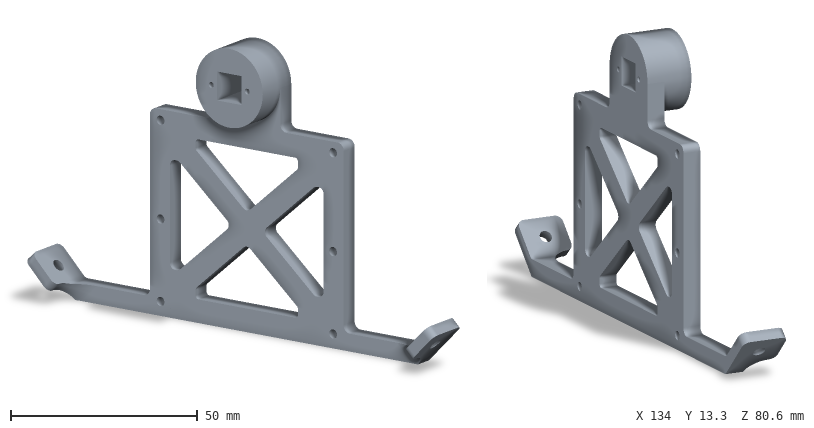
import cadquery as cq
import math


half_span = 67.0
depth = 13.3
plate_thickness = 5.1

frame_half_width = 31.7
frame_height = 57.4
frame_corner_radius = 2.0

boss_radius = 11.0
boss_z = 69.6
square_hole_size = 8.0
pin_hole_diameter = 1.6
pin_hole_x = 5.9

screw_hole_diameter = 2.5
screw_hole_x = 28.2
screw_hole_heights = (4.0, 26.9, 54.4)

window_centre_z = 28.8
opening_half_width = 25.2
opening_half_height = 22.2
brace_width = 6.7
upper_window_half_width = 16.7
side_window_half_height = 15.3
window_corner_radius = 1.7
upper_window_corner_radius = 1.0

arm_height = 5.0
tab_angle = math.radians(46)
tab_length = 15.7
tab_thickness = 3.2
tab_lower_end = 4.8
tab_bend_radius = 2.0
tab_corner_radius = 2.0
tab_blend_radius = 6.0
tab_hole_diameter = 3.5
tab_hole_position = 9.8

tab_cos = math.cos(tab_angle)
tab_sin = math.sin(tab_angle)
bend_x = half_span - tab_length * tab_cos
arm_stub_x = (frame_half_width + bend_x) / 2


def prism(points, thickness):
    """Extrude a closed X-Z outline from the back face toward -Y."""
    return cq.Workplane("XZ").polyline(points).close().extrude(thickness)


def round_corners(body, corners, radius):
    """Fillet the edges along Y that pass through the given (x, z) corners, on both sides of X = 0."""
    edges = []
    for x, z in corners:
        for side in (-1, 1):
            nearest = cq.selectors.NearestToPointSelector((side * x, -plate_thickness / 2, z))
            edges.append(body.edges("|Y").edges(nearest).val())
    return body.newObject(edges).fillet(radius)


def make_frame():
    """Frame plate with the roots of both arms and the neck below the boss."""
    left_outline = [
        (-arm_stub_x, 0),
        (-arm_stub_x, arm_height),
        (-frame_half_width, arm_height),
        (-frame_half_width, frame_height),
        (-boss_radius, frame_height),
        (-boss_radius, boss_z),
    ]
    right_outline = [(-x, z) for x, z in reversed(left_outline)]
    frame = prism(left_outline + right_outline, plate_thickness)
    corners = [
        (frame_half_width, arm_height),
        (frame_half_width, frame_height),
        (boss_radius, frame_height),
    ]
    return round_corners(frame, corners, frame_corner_radius)


def make_windows():
    """Four windows with trimmed tips around an X of braces running into the opening's corners."""
    slope = opening_half_height / opening_half_width
    apex_z = brace_width / 2 * math.hypot(1, slope)
    apex_x = apex_z / slope
    upper_side_z = apex_z + slope * upper_window_half_width
    side_tip_x = apex_x + side_window_half_height / slope
    upper = [
        (0, apex_z),
        (upper_window_half_width, upper_side_z),
        (upper_window_half_width, opening_half_height),
        (-upper_window_half_width, opening_half_height),
        (-upper_window_half_width, upper_side_z),
    ]
    right = [
        (apex_x, 0),
        (side_tip_x, side_window_half_height),
        (opening_half_width, side_window_half_height),
        (opening_half_width, -side_window_half_height),
        (side_tip_x, -side_window_half_height),
    ]
    upper_window = prism(upper, plate_thickness)
    upper_window = upper_window.edges("|Y and <Z").fillet(window_corner_radius)
    upper_window = upper_window.edges("|Y").edges("<X or >X or >Z").fillet(upper_window_corner_radius)
    right_window = prism(right, plate_thickness).edges("|Y").fillet(window_corner_radius)

    half = upper_window.union(right_window)
    other_half = half.rotate((0, 0, 0), (0, 1, 0), 180)
    return half.union(other_half).translate((0, 0, window_centre_z))


def make_screw_holes():
    centres = [(side * screw_hole_x, z) for side in (-1, 1) for z in screw_hole_heights]
    return cq.Workplane("XZ").pushPoints(centres).circle(screw_hole_diameter / 2).extrude(plate_thickness)


def make_boss():
    return cq.Workplane("XZ").center(0, boss_z).circle(boss_radius).extrude(depth)


def make_boss_holes():
    """Square through hole flanked by two pin holes."""
    plane = cq.Workplane("XZ").center(0, boss_z)
    square = plane.rect(square_hole_size, square_hole_size).extrude(depth)
    pin_centres = [(-pin_hole_x, 0), (pin_hole_x, 0)]
    pins = plane.pushPoints(pin_centres).circle(pin_hole_diameter / 2).extrude(depth)
    return square.union(pins)


def make_left_tab():
    """Bent end of the left arm: its X-Z outline trimmed to the rounded tab shape."""
    inner_bend_x = bend_x + (arm_height * tab_cos - tab_thickness) / tab_sin
    tip_z = tab_length * tab_sin
    bent_bar = prism(
        [
            (-arm_stub_x, 0),
            (-bend_x, 0),
            (-half_span, tip_z),
            (-half_span + tab_thickness * tab_sin, tip_z + tab_thickness * tab_cos),
            (-inner_bend_x, arm_height),
            (-arm_stub_x, arm_height),
        ],
        depth,
    )
    inner_bend = cq.selectors.NearestToPointSelector((-inner_bend_x, -depth / 2, arm_height))
    bent_bar = bent_bar.edges("|Y").edges(inner_bend).fillet(tab_bend_radius)

    slope_plane = cq.Workplane(
        cq.Plane(origin=(-bend_x, 0, 0), xDir=(-tab_cos, 0, tab_sin), normal=(tab_sin, 0, tab_cos))
    )
    r = tab_corner_radius
    arc_setback = 1 - math.sqrt(0.5)
    corner_offset = r * arc_setback
    blend_offset = tab_blend_radius * arc_setback
    trim = (
        slope_plane.moveTo(-half_span, 0)
        .lineTo(tab_length - r, 0)
        .threePointArc((tab_length - corner_offset, corner_offset), (tab_length, r))
        .lineTo(tab_length, depth - r)
        .threePointArc((tab_length - corner_offset, depth - corner_offset), (tab_length - r, depth))
        .lineTo(tab_lower_end + r, depth)
        .threePointArc((tab_lower_end + corner_offset, depth - corner_offset), (tab_lower_end, depth - r))
        .lineTo(tab_lower_end, plate_thickness + tab_blend_radius)
        .threePointArc(
            (tab_lower_end - blend_offset, plate_thickness + blend_offset),
            (tab_lower_end - tab_blend_radius, plate_thickness),
        )
        .lineTo(-half_span, plate_thickness)
        .close()
        .extrude(half_span, both=True)
    )
    hole = (
        slope_plane.center(tab_hole_position, depth / 2)
        .circle(tab_hole_diameter / 2)
        .extrude(tab_thickness)
    )
    return bent_bar.intersect(trim).cut(hole)


left_tab = make_left_tab()
result = (
    make_frame()
    .cut(make_windows())
    .cut(make_screw_holes())
    .union(make_boss())
    .cut(make_boss_holes())
    .union(left_tab)
    .union(left_tab.mirror("YZ"))
)